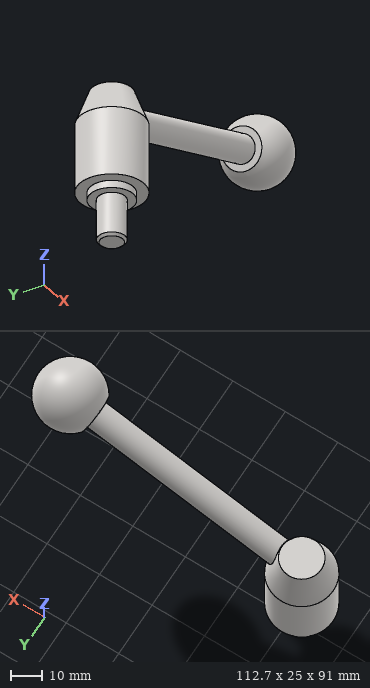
import cadquery as cq
import math

overall_length = 112.7
overall_height = 91.0

hub_diameter = 24.0
hub_top_diameter = 15.0
hub_straight_height = 25.3
hub_cone_height = 12.1
collar_diameter = 16.0
collar_height = 2.7
stud_diameter = 10.0
stud_length = 15.8
stud_chamfer = 0.9

lever_diameter = 10.0
lever_angle = 20.0
ball_diameter = 25.0
ball_flat_diameter = 15.0

hub_radius = hub_diameter / 2
ball_radius = ball_diameter / 2
ball_x = overall_length - hub_radius - ball_radius
ball_z = overall_height - ball_radius
lever_length = ball_x / math.cos(math.radians(lever_angle))
lever_start_z = ball_z - ball_x * math.tan(math.radians(lever_angle))
ball_flat_distance = math.sqrt(ball_radius**2 - (ball_flat_diameter / 2) ** 2)


def make_hub():
    """Stud, collar and tapered hub as one turned profile."""
    stud_radius = stud_diameter / 2
    collar_radius = collar_diameter / 2
    hub_bottom = stud_length + collar_height
    cone_bottom = hub_bottom + hub_straight_height
    hub_top = cone_bottom + hub_cone_height
    profile = [
        (0, 0),
        (stud_radius - stud_chamfer, 0),
        (stud_radius, stud_chamfer),
        (stud_radius, stud_length),
        (collar_radius, stud_length),
        (collar_radius, hub_bottom),
        (hub_radius, hub_bottom),
        (hub_radius, cone_bottom),
        (hub_top_diameter / 2, hub_top),
        (0, hub_top),
    ]
    return cq.Workplane("XZ").polyline(profile).close().revolve(360, (0, 0), (0, 1))


def make_lever():
    """Rod and flat-faced ball turned about Z, then tilted toward +X."""
    rod = cq.Workplane("XY").circle(lever_diameter / 2).extrude(lever_length)
    ball = (
        cq.Workplane("XZ", origin=(0, 0, lever_length))
        .moveTo(0, -ball_flat_distance)
        .lineTo(ball_flat_diameter / 2, -ball_flat_distance)
        .threePointArc((ball_radius, 0), (0, ball_radius))
        .close()
        .revolve(360, (0, 0), (0, 1))
    )
    tilt = 90 - lever_angle
    return rod.union(ball).rotate((0, 0, 0), (0, 1, 0), tilt).translate((0, 0, lever_start_z))


result = make_hub().union(make_lever())